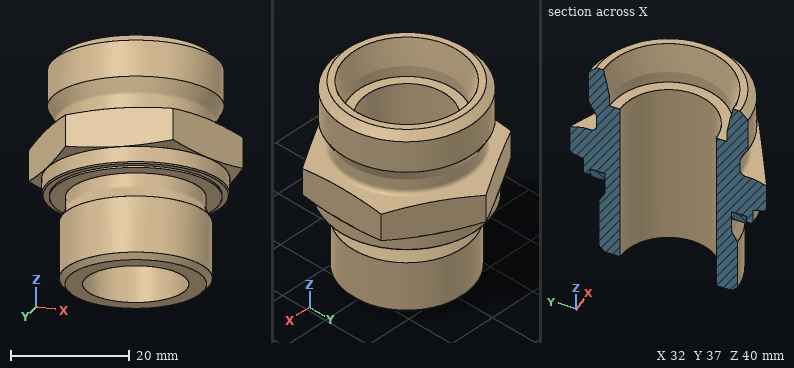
import cadquery as cq
import math

TOTAL_HEIGHT = 40.0
HEX_SIDES = 6
HEX_ACROSS_FLATS = 32.0
HEX_BOTTOM = 19.0
HEX_TOP = 26.0
HEX_CHAMFER_ANGLE = 15.0
COLLAR_RADIUS = 31.9 / 2
COLLAR_BOTTOM = 16.0
COLLAR_CHAMFER = 0.25

HEAD_RADIUS = 30.0 / 2
HEAD_BOTTOM = 32.0
UPPER_NECK_RADIUS = 27.0 / 2
UPPER_NECK_BLEND = 1.0
NECK_FOOT_RADIUS = 29.2 / 2
TOP_CHAMFER = HEAD_RADIUS - UPPER_NECK_RADIUS

STUD_RADIUS = 26.0 / 2
STUD_TOP = 11.1
STUD_CHAMFER = 1.0
LOWER_NECK_RADIUS = 23.8 / 2
LOWER_NECK_BLEND = 1.3
UNDERCUT_ANGLE = 30.0

BORE_RADIUS = 18.0 / 2
SOCKET_RADIUS = 22.0 / 2
SOCKET_DEPTH = 7.5
SOCKET_MOUTH_RADIUS = 24.3 / 2
SOCKET_TAPER_ANGLE = 12.0

SEAL_RADIUS = 29.3 / 2
SEAL_RECESS_DEPTH = 1.2
SEAL_PROTRUSION = 0.3


def slope_length(radial_step, angle):
    """Axial length of a cone whose slope is measured from the axis."""
    return radial_step / math.tan(math.radians(angle))


def blend_ends(radius, angle):
    """Axial reach along the cylinder, then axial and radial reach along the cone."""
    slope = math.radians(angle)
    tangent = radius * math.tan(slope / 2)
    return tangent, tangent * math.cos(slope), tangent * math.sin(slope)


def blend_middle(neck_radius, blend_radius, angle):
    """Radius from the axis, and axial distance from the cylinder end, halfway along a blend."""
    half_slope = math.radians(angle) / 2
    radial = neck_radius + blend_radius * (1 - math.cos(half_slope))
    return radial, blend_radius * math.sin(half_slope)


def make_cylinder(radius, bottom, top):
    return cq.Workplane("XY").workplane(offset=bottom).circle(radius).extrude(top - bottom)


def revolve_about_z(profile):
    return profile.close().revolve(360, (0, 0, 0), (0, 1, 0))


def make_hexagon():
    """Hexagon with corners on the Y axis and conically chamfered ends."""
    corner_diameter = HEX_ACROSS_FLATS / math.cos(math.pi / HEX_SIDES)
    hexagon = (
        cq.Workplane("XY")
        .workplane(offset=HEX_BOTTOM)
        .transformed(rotate=(0, 0, 90))
        .polygon(HEX_SIDES, corner_diameter)
        .extrude(HEX_TOP - HEX_BOTTOM)
    )
    corner_radius = corner_diameter / 2
    drop = (corner_radius - COLLAR_RADIUS) * math.tan(math.radians(HEX_CHAMFER_ANGLE))
    envelope = revolve_about_z(
        cq.Workplane("XZ")
        .moveTo(0, HEX_BOTTOM)
        .lineTo(COLLAR_RADIUS, HEX_BOTTOM)
        .lineTo(corner_radius, HEX_BOTTOM + drop)
        .lineTo(corner_radius, HEX_TOP - drop)
        .lineTo(COLLAR_RADIUS, HEX_TOP)
        .lineTo(0, HEX_TOP)
    )
    return hexagon.intersect(envelope)


def make_collar():
    collar = make_cylinder(COLLAR_RADIUS, COLLAR_BOTTOM, HEX_BOTTOM)
    return collar.faces("<Z").edges().chamfer(COLLAR_CHAMFER)


def make_upper_connection():
    """Chamfered head above an undercut neck, with a fillet where it meets the hexagon."""
    neck_top = HEAD_BOTTOM - slope_length(HEAD_RADIUS - UPPER_NECK_RADIUS, UNDERCUT_ANGLE)
    down, up, out = blend_ends(UPPER_NECK_BLEND, UNDERCUT_ANGLE)
    blend_start = neck_top - down
    middle_radius, middle_rise = blend_middle(UPPER_NECK_RADIUS, UPPER_NECK_BLEND, UNDERCUT_ANGLE)
    foot_fillet = NECK_FOOT_RADIUS - UPPER_NECK_RADIUS
    foot_inset = foot_fillet * (1 - math.sqrt(0.5))
    return revolve_about_z(
        cq.Workplane("XZ")
        .moveTo(0, HEX_TOP)
        .lineTo(NECK_FOOT_RADIUS, HEX_TOP)
        .threePointArc(
            (UPPER_NECK_RADIUS + foot_inset, HEX_TOP + foot_inset),
            (UPPER_NECK_RADIUS, HEX_TOP + foot_fillet),
        )
        .lineTo(UPPER_NECK_RADIUS, blend_start)
        .threePointArc(
            (middle_radius, blend_start + middle_rise),
            (UPPER_NECK_RADIUS + out, neck_top + up),
        )
        .lineTo(HEAD_RADIUS, HEAD_BOTTOM)
        .lineTo(HEAD_RADIUS, TOTAL_HEIGHT - TOP_CHAMFER)
        .lineTo(HEAD_RADIUS - TOP_CHAMFER, TOTAL_HEIGHT)
        .lineTo(0, TOTAL_HEIGHT)
    )


def make_stud():
    """Chamfered stud below an undercut neck that reaches up to the collar."""
    neck_bottom = STUD_TOP + slope_length(STUD_RADIUS - LOWER_NECK_RADIUS, UNDERCUT_ANGLE)
    up, down, out = blend_ends(LOWER_NECK_BLEND, UNDERCUT_ANGLE)
    blend_start = neck_bottom + up
    middle_radius, middle_drop = blend_middle(LOWER_NECK_RADIUS, LOWER_NECK_BLEND, UNDERCUT_ANGLE)
    return revolve_about_z(
        cq.Workplane("XZ")
        .lineTo(STUD_RADIUS - STUD_CHAMFER, 0)
        .lineTo(STUD_RADIUS, STUD_CHAMFER)
        .lineTo(STUD_RADIUS, STUD_TOP)
        .lineTo(LOWER_NECK_RADIUS + out, neck_bottom - down)
        .threePointArc(
            (middle_radius, blend_start - middle_drop),
            (LOWER_NECK_RADIUS, blend_start),
        )
        .lineTo(LOWER_NECK_RADIUS, COLLAR_BOTTOM)
        .lineTo(0, COLLAR_BOTTOM)
    )


def make_bore():
    """Through bore that opens into a socket with a tapered mouth."""
    taper_depth = slope_length(SOCKET_MOUTH_RADIUS - SOCKET_RADIUS, SOCKET_TAPER_ANGLE)
    socket_floor = TOTAL_HEIGHT - SOCKET_DEPTH
    return revolve_about_z(
        cq.Workplane("XZ")
        .lineTo(BORE_RADIUS, 0)
        .lineTo(BORE_RADIUS, socket_floor)
        .lineTo(SOCKET_RADIUS, socket_floor)
        .lineTo(SOCKET_RADIUS, TOTAL_HEIGHT - taper_depth)
        .lineTo(SOCKET_MOUTH_RADIUS, TOTAL_HEIGHT)
        .lineTo(0, TOTAL_HEIGHT)
    )


def make_seal():
    """Flat ring around the lower neck, standing slightly below the collar."""
    bottom = COLLAR_BOTTOM - SEAL_PROTRUSION
    top = COLLAR_BOTTOM + SEAL_RECESS_DEPTH
    return make_cylinder(SEAL_RADIUS, bottom, top).cut(make_cylinder(LOWER_NECK_RADIUS, bottom, top))


def make_fitting(seal):
    """Complete fitting body, bored through and recessed for the seal."""
    body = make_stud().union(make_collar()).union(make_hexagon()).union(make_upper_connection())
    return body.cut(make_bore()).cut(seal)


seal_ring = make_seal()
fitting = make_fitting(seal_ring)

result = cq.Compound.makeCompound([fitting.solids().val(), seal_ring.solids().val()])